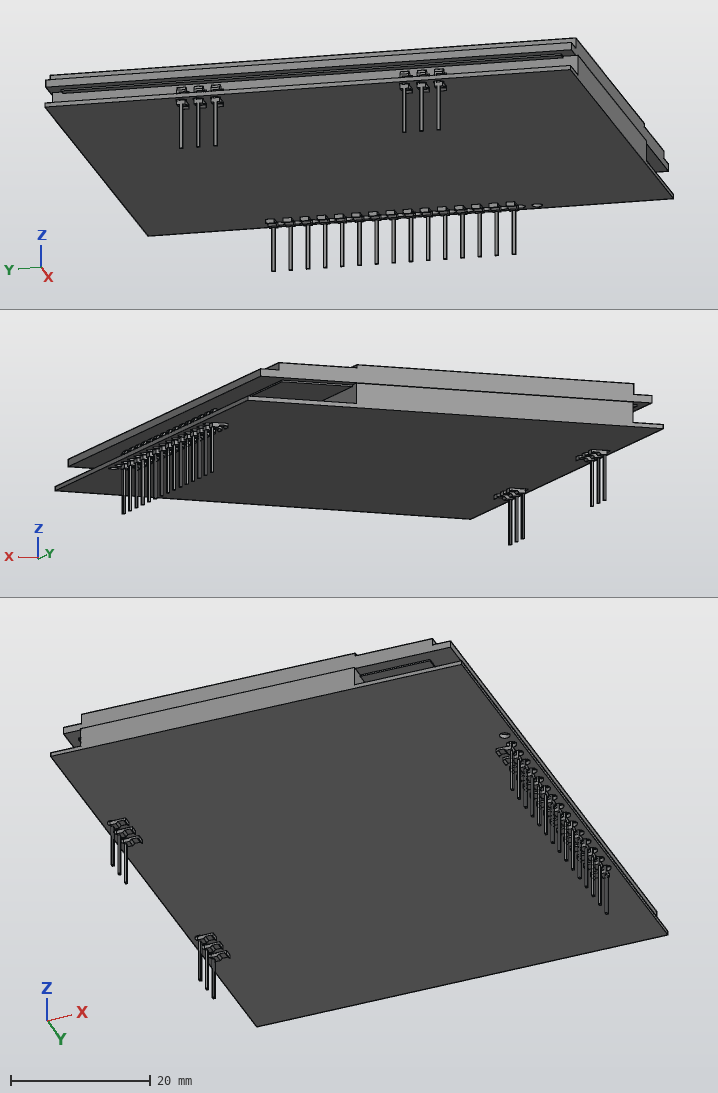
import cadquery as cq


pin_drop = 7.2
board_thickness = 0.6
backlight_thickness = 3.0
glass_thickness = 1.1
front_film_thickness = 0.5
rear_film_thickness = 0.2

board_bottom = pin_drop
board_top = board_bottom + board_thickness
rear_glass_bottom = board_top + backlight_thickness
front_glass_bottom = rear_glass_bottom + glass_thickness
front_film_bottom = front_glass_bottom + glass_thickness

board_width = 64.0
board_length = 77.7
display_length = board_length
display_shift = 0.3
display_back = 39.0
display_front = display_back - display_length
board_back = display_back - display_shift
board_front = board_back - board_length
board_middle = (board_front + board_back) / 2

rear_glass_half_width = 30.1
display_left = -27.3
front_glass_right = -display_left
viewing_right = 15.3
rear_film_left = -28.6
rear_film_right = 26.15
rear_film_margin = 1.9

hole_count = 16
hole_row_length = 38.1
hole_pitch = hole_row_length / (hole_count - 1)
hole_diameter = 1.5
hole_x = 30.5
left_pin_rows = [0, 1, 2, 13, 14, 15]
right_pin_rows = range(15)
left_pin_x = -hole_x
right_pin_x = 30.3
right_pin_shift = 0.85

pin_thickness = 0.3
pin_width = 0.5
arm_width = 1.25
post_width = 0.3
arm_reach = 2.4
arm_thickness = 0.3
arm_height = 8.4
upper_lip = 0.5
lower_lip = 0.3
lower_heel = 0.9
upper_heel = 0.6


def plate(left, right, front, back, bottom, thickness):
    return cq.Workplane("XY").box(right - left, back - front, thickness, centered=False).translate(
        (left, front, bottom)
    )


def row_y(row):
    return board_middle + hole_row_length / 2 - row * hole_pitch


def extrude_profile(points, width):
    return cq.Workplane("XZ").polyline(points).close().extrude(width / 2, both=True)


def clip_pin():
    """One pin with its leg centred on the Z axis and its arms reaching toward +X."""
    outer = -pin_thickness / 2
    tip = outer + arm_reach
    lip_start = tip - pin_thickness

    arm_top = arm_height + arm_thickness
    upper_arm = extrude_profile(
        [
            (outer, arm_height),
            (tip, arm_height),
            (tip, arm_top + upper_lip),
            (lip_start, arm_top),
            (outer + upper_heel + upper_lip, arm_top),
            (outer + upper_heel, arm_top + upper_lip),
            (outer + pin_thickness, arm_top + upper_lip),
            (outer, arm_top),
        ],
        arm_width,
    )

    arm_bottom = board_bottom - arm_thickness
    lower_arm = extrude_profile(
        [
            (outer, board_bottom),
            (tip, board_bottom),
            (tip, arm_bottom - lower_lip),
            (lip_start, arm_bottom),
            (outer + lower_heel + lower_lip, arm_bottom),
            (outer + lower_heel, arm_bottom - lower_lip),
            (outer, arm_bottom - lower_lip),
        ],
        arm_width,
    )

    leg = plate(outer, -outer, -pin_width / 2, pin_width / 2, 0, board_bottom)

    post_back = arm_width / 2
    post_front = post_back - post_width
    post = plate(outer, -outer, post_front, post_back, arm_bottom, arm_top - arm_bottom)
    return lower_arm.union(leg).union(post).union(upper_arm)


def circuit_board():
    board = plate(
        -board_width / 2, board_width / 2, board_front, board_back, board_bottom, board_thickness
    )
    left_holes = [(-hole_x, row_y(row)) for row in left_pin_rows]
    right_holes = [(hole_x, row_y(row)) for row in range(hole_count)]
    drills = (
        cq.Workplane("XY", origin=(0, 0, board_bottom))
        .pushPoints(left_holes + right_holes)
        .circle(hole_diameter / 2)
        .extrude(board_thickness)
    )
    return board.cut(drills)


def display_stack():
    backlight = plate(
        display_left, viewing_right, board_front, board_back, board_top, backlight_thickness
    )
    rear_film = plate(
        rear_film_left,
        rear_film_right,
        display_front + rear_film_margin,
        display_back - rear_film_margin,
        rear_glass_bottom - rear_film_thickness,
        rear_film_thickness,
    )
    rear_glass = plate(
        -rear_glass_half_width,
        rear_glass_half_width,
        display_front,
        display_back,
        rear_glass_bottom,
        glass_thickness,
    )
    front_glass = plate(
        display_left, front_glass_right, display_front, display_back, front_glass_bottom, glass_thickness
    )
    front_film = plate(
        display_left, viewing_right, display_front, display_back, front_film_bottom, front_film_thickness
    )
    stack = backlight
    for layer in (rear_film, rear_glass, front_glass, front_film):
        stack = stack.union(layer, clean=False)
    return stack


result = circuit_board().union(display_stack(), clean=False)

left_pin = clip_pin()
for row in left_pin_rows:
    result = result.union(left_pin.translate((left_pin_x, row_y(row), 0)), clean=False)

right_pin = left_pin.rotate((0, 0, 0), (0, 0, 1), 180)
for row in right_pin_rows:
    result = result.union(right_pin.translate((right_pin_x, row_y(row) + right_pin_shift, 0)), clean=False)